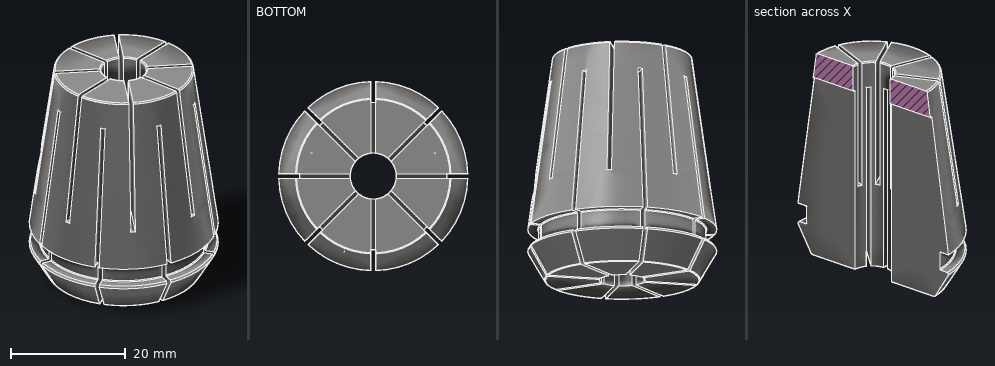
import cadquery as cq
import math

height = 40.0
max_diameter = 33.0
bore_diameter = 8.0
cone_half_angle = 8.0
nose_half_angle = 30.0

top_chamfer = 0.25
bore_chamfer = 0.2
bottom_chamfer = 0.1

groove_diameter = 29.2
groove_bottom_z = 5.6
groove_top_z = 9.1
groove_corner = 0.15
flange_chamfer_width = 0.25
flange_chamfer_height = 0.4

slot_width = 0.8
slot_count = 8
lower_slot_top_z = 35.0
upper_slot_floor_z = 16.0

max_radius = max_diameter / 2
bore_radius = bore_diameter / 2
groove_radius = groove_diameter / 2


def cone_radius(z):
    """Radius of the main taper at height z."""
    return max_radius - (z - groove_top_z) * math.tan(math.radians(cone_half_angle))


def nose_radius(z):
    """Radius of the lower taper at height z."""
    rim_z = groove_bottom_z - flange_chamfer_height
    return max_radius - (rim_z - z) * math.tan(math.radians(nose_half_angle))


def make_body():
    """Revolve the half section, bore included, about the Z axis."""
    top_edge_z = height - top_chamfer
    profile = [
        (bore_radius, 0),
        (nose_radius(0) - bottom_chamfer, 0),
        (nose_radius(bottom_chamfer), bottom_chamfer),
        (max_radius, groove_bottom_z - flange_chamfer_height),
        (max_radius - flange_chamfer_width, groove_bottom_z),
        (groove_radius + groove_corner, groove_bottom_z),
        (groove_radius, groove_bottom_z + groove_corner),
        (groove_radius, groove_top_z - groove_corner),
        (groove_radius + groove_corner, groove_top_z),
        (max_radius, groove_top_z),
        (cone_radius(top_edge_z), top_edge_z),
        (cone_radius(top_edge_z) - top_chamfer, height),
        (bore_radius + bore_chamfer, height),
        (bore_radius, height - bore_chamfer),
    ]
    section = cq.Workplane("XZ").polyline(profile).close()
    return section.revolve(360, (0, 0, 0), (0, 1, 0))


def make_slots(bottom_z, top_z, first_angle):
    """Evenly spaced radial slots, each blade spanning the full diameter."""
    angle_step = 360 / slot_count
    blade = cq.Workplane("XY").workplane(offset=bottom_z)
    blade = blade.rect(max_diameter, slot_width).extrude(top_z - bottom_z)
    slots = cq.Workplane("XY")
    for index in range(slot_count // 2):
        angle = first_angle + index * angle_step
        slots = slots.add(blade.rotate((0, 0, 0), (0, 0, 1), angle))
    return slots.combine()


lower_slots = make_slots(0, lower_slot_top_z, 0)
upper_slots = make_slots(upper_slot_floor_z, height, 180 / slot_count)

result = make_body().cut(lower_slots).cut(upper_slots)